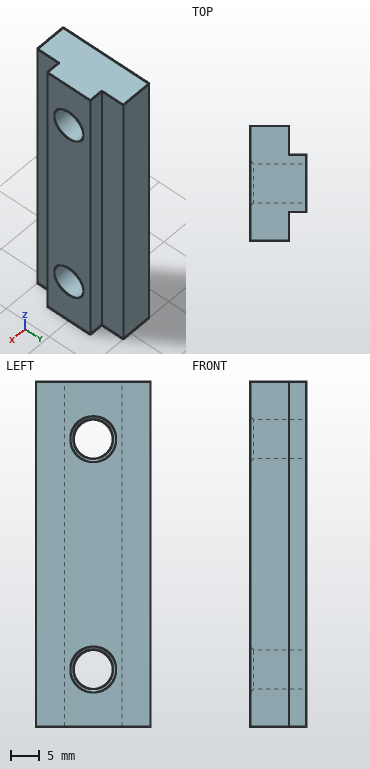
import cadquery as cq

height = 60.0
plate_width = 20.0
plate_thickness = 6.8
rib_width = plate_width / 2
rib_depth = 3.0

hole_diameter = 6.8
countersink_diameter = 8.0
hole_end_distance = plate_width / 2
chamfer_size = (countersink_diameter - hole_diameter) / 2

total_depth = plate_thickness + rib_depth
hole_offset = height / 2 - hole_end_distance


def upright_block(x_start, depth, width):
    """Full-height block, centred on Y and Z, starting at x_start."""
    block = cq.Workplane("XY").box(depth, width, height, centered=(False, True, True))
    return block.translate((x_start, 0, 0))


def hole_cutter(z):
    """Through hole along +X with a 45 degree entry chamfer at x = 0."""
    profile = (
        cq.Workplane("XY")
        .moveTo(0, 0)
        .lineTo(0, countersink_diameter / 2)
        .lineTo(chamfer_size, hole_diameter / 2)
        .lineTo(total_depth, hole_diameter / 2)
        .lineTo(total_depth, 0)
        .close()
    )
    return profile.revolve(360, (0, 0, 0), (1, 0, 0)).translate((0, 0, z))


plate = upright_block(0, plate_thickness, plate_width)
rib = upright_block(plate_thickness, rib_depth, rib_width)
result = plate.union(rib)

for hole_z in (-hole_offset, hole_offset):
    result = result.cut(hole_cutter(hole_z))